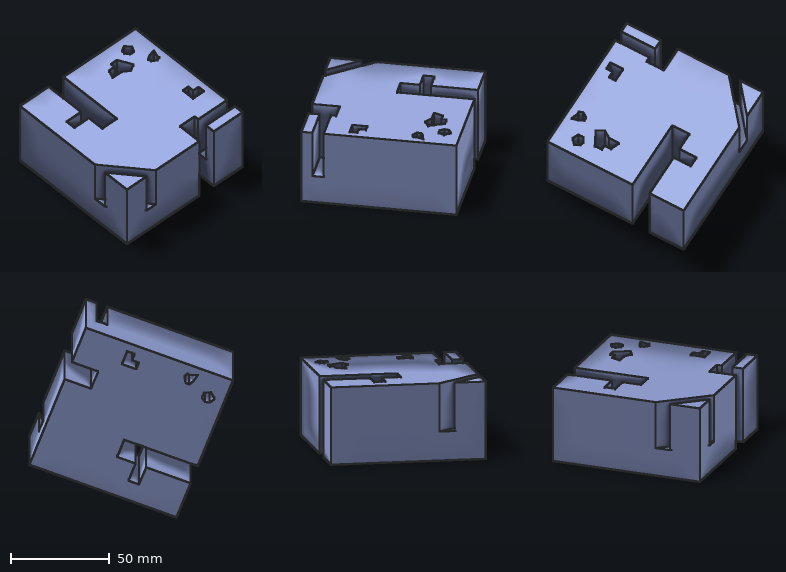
import cadquery as cq

side = 80.0
height = 40.0

slot_width = 10.0
slot_length = side / 2
slot_front = 20.0
branch_width = 5.8
branch_left = 24.2
branch_depth = slot_width

notch_depth = 14.3
notch_width = slot_width
notch_front = 50.0

groove_left = 68.4
groove_width = 5.8

diagonal_start = 56.0
diagonal_end = 20.0
diagonal_width = 7.8
groove_depth = 25.0

step_left = 48.2
step_right = 55.8
step_front = 68.1
step_back = 75.5
step_middle_x = 51.8
step_middle_y = 71.8

hexagon_points = [(5.2, 67.3), (8.2, 69.9), (11.4, 68.4), (11.4, 65.5), (9.0, 64.0), (6.8, 64.4)]
teardrop_points = [
    (17.8, 76.2), (21.9, 74.7), (23.0, 75.2), (23.8, 72.9), (22.1, 70.2), (20.2, 69.9), (18.8, 72.2),
]
pocket_points = [
    (9.9, 58.0), (17.8, 62.1), (20.2, 58.0), (17.5, 54.1), (17.4, 48.1), (12.6, 50.0), (12.6, 53.8),
    (9.9, 53.8),
]
pocket_depth = groove_depth


def box(x_min, y_min, length, width, z_min=0.0):
    """Box reaching from z_min up to the top face."""
    return cq.Workplane("XY", origin=(x_min, y_min, z_min)).box(
        length, width, height - z_min, centered=False
    )


def prism(points, z_min=0.0):
    """Polygon extruded from z_min up to the top face."""
    return cq.Workplane("XY").workplane(offset=z_min).polyline(points).close().extrude(height - z_min)


def t_slot():
    channel = box(0, slot_front, slot_length, slot_width)
    branch = box(branch_left, slot_front - branch_depth, branch_width, branch_depth)
    return channel.union(branch)


def side_notch():
    return box(side - notch_depth, notch_front, notch_depth, notch_width)


def back_groove():
    groove_front = notch_front + notch_width
    return box(groove_left, groove_front, groove_width, side - groove_front, height - groove_depth)


def diagonal_groove():
    slope = diagonal_end / (side - diagonal_start)
    inner_start = diagonal_start + diagonal_width
    points = [
        (diagonal_start, 0),
        (inner_start, 0),
        (side, (side - inner_start) * slope),
        (side, diagonal_end),
    ]
    return prism(points, height - groove_depth)


def stepped_hole():
    return prism([
        (step_left, step_front),
        (step_right, step_front),
        (step_right, step_back),
        (step_middle_x, step_back),
        (step_middle_x, step_middle_y),
        (step_left, step_middle_y),
    ])


result = (
    box(0, 0, side, side)
    .cut(t_slot())
    .cut(side_notch())
    .cut(back_groove())
    .cut(diagonal_groove())
    .cut(stepped_hole())
    .cut(prism(hexagon_points))
    .cut(prism(teardrop_points))
    .cut(prism(pocket_points, height - pocket_depth))
)